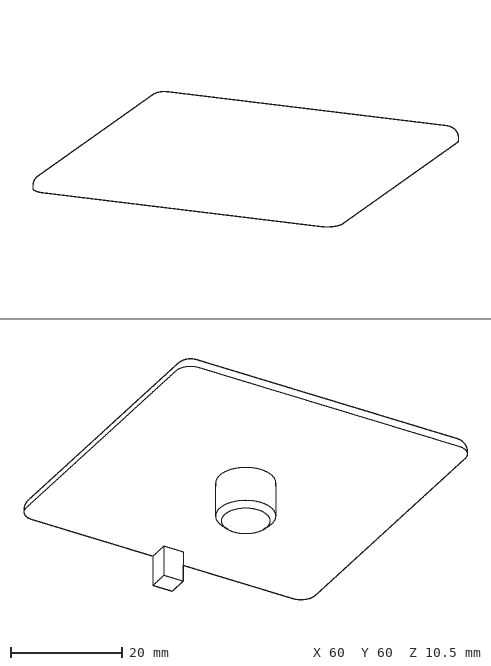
import cadquery as cq

plate_side = 60
plate_thickness = 2.5
corner_radius = 3
top_edge_radius = 2.0

overall_height = 10.5
peg_diameter = 10.8
peg_chamfer = 1.0
peg_length = overall_height - plate_thickness

tab_side = 4.0
tab_length = 6.2


def make_plate():
    """Square plate with rounded corners and a rounded top rim."""
    plate = cq.Workplane("XY").rect(plate_side, plate_side).extrude(plate_thickness)
    plate = plate.edges("|Z").fillet(corner_radius)
    return plate.faces(">Z").edges().fillet(top_edge_radius)


def make_peg():
    """Cylinder hanging from the underside, chamfered at its free end."""
    peg = cq.Workplane("XY").circle(peg_diameter / 2).extrude(-peg_length)
    return peg.faces("<Z").edges().chamfer(peg_chamfer)


def make_tab():
    """Block hanging from the underside, flush with the +Y side of the plate."""
    tab_centre_y = (plate_side - tab_side) / 2
    return (
        cq.Workplane("XY")
        .center(0, tab_centre_y)
        .rect(tab_side, tab_side)
        .extrude(-tab_length)
    )


result = make_plate().union(make_peg()).union(make_tab())